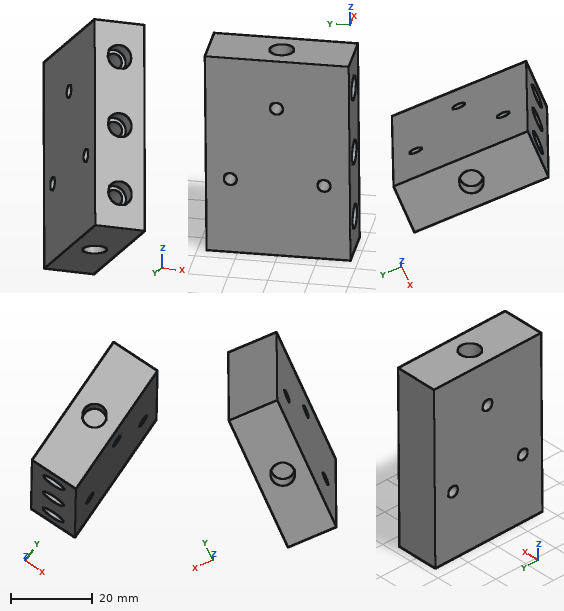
import cadquery as cq
import math

thickness = 13.0
overall_width = 36.35
overall_height = 53.6
tilt = 0.47

cos_tilt = math.cos(math.radians(tilt))
sin_tilt = math.sin(math.radians(tilt))
spread = cos_tilt ** 2 - sin_tilt ** 2
width = (overall_width * cos_tilt - overall_height * sin_tilt) / spread
height = (overall_height * cos_tilt - overall_width * sin_tilt) / spread

bolt_hole_diameter = 3.2
bolt_circle_radius = 13.5
bolt_circle_y = 0.15
bolt_circle_z = 0.15
bolt_count = 3

port_diameter = 6.1
port_depth = 4.0
port_spacing = 17.65
passage_diameter = 4.1
passage_depth = 15.0

end_port_diameter = 6.0
end_port_depth = 5.35
end_port_y = -0.1


def cylinder(diameter, length, start, direction):
    """Solid cylinder that begins at start and runs along direction."""
    return cq.Workplane(cq.Solid.makeCylinder(
        diameter / 2, length, cq.Vector(*start), cq.Vector(*direction)))


def stepped_port(z):
    """Wide port in the -Y face with a narrower passage at its end."""
    mouth = (0, -width / 2, z)
    inward = (0, 1, 0)
    port = cylinder(port_diameter, port_depth, mouth, inward)
    passage = cylinder(passage_diameter, passage_depth, mouth, inward)
    return port.union(passage)


def end_port(side):
    """Blind port in the top face (side 1) or the bottom face (side -1)."""
    mouth = (0, end_port_y, side * height / 2)
    return cylinder(end_port_diameter, end_port_depth, mouth, (0, 0, -side))


def bolt_hole(index):
    """Through hole along X; the first one is straight above the circle centre."""
    angle = math.radians(90 + index * 360 / bolt_count)
    y = bolt_circle_y + bolt_circle_radius * math.cos(angle)
    z = bolt_circle_z + bolt_circle_radius * math.sin(angle)
    return cylinder(bolt_hole_diameter, thickness, (-thickness / 2, y, z), (1, 0, 0))


block = cq.Workplane("XY").box(thickness, width, height)

for row in (-1, 0, 1):
    block = block.cut(stepped_port(row * port_spacing))

for side in (-1, 1):
    block = block.cut(end_port(side))

for index in range(bolt_count):
    block = block.cut(bolt_hole(index))

result = block.rotate((0, 0, 0), (1, 0, 0), -tilt)